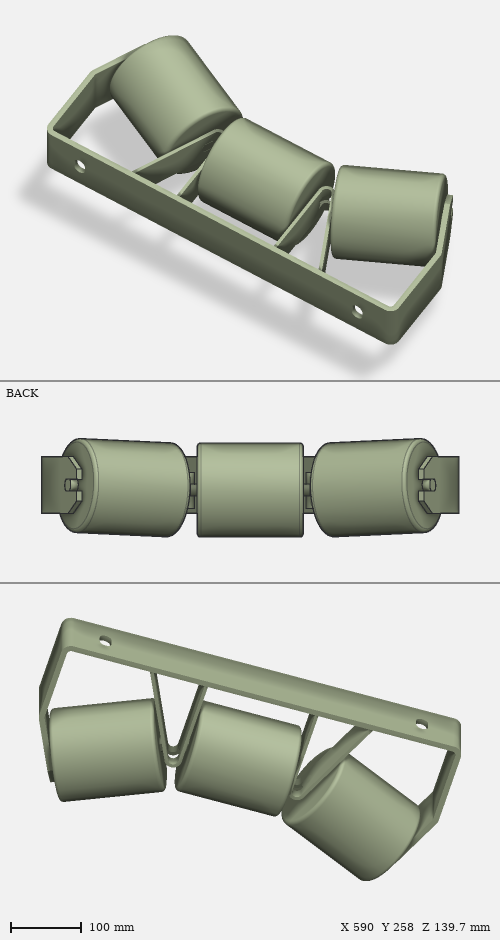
import cadquery as cq
import math

FRAME_LENGTH = 590.0
HALF_LENGTH = FRAME_LENGTH / 2
FRAME_HEIGHT = 80.0
FRAME_THICKNESS = 8.0
FRAME_BEND_RADIUS = 14.0
SIDE_DEPTH = 124.5
WING_LENGTH = 118.0
LEAN = 25.0
WING_CHAMFER_LENGTH = 29.0
WING_CHAMFER_HEIGHT = 17.5

MOUNT_SLOT_WIDTH = 17.5
MOUNT_SLOT_HEIGHT = 27.0
MOUNT_SLOT_OFFSET = 233.5

ROLLER_DIAMETER = 133.5
ROLLER_LENGTH = 150.0
ROLLER_EDGE_RADIUS = 5.5
SHAFT_DIAMETER = 20.0
SHAFT_ACROSS_FLATS = 16.5
ROLLER_GAP = 4.0
WING_AXIS_SETBACK = 30.0
CENTRE_AXIS_Y = 125.0
AXIS_DROP = 7.0

BRACKET_THICKNESS = 5.0
BRACKET_BEND_RADIUS = 12.5
BRACKET_TOP_Y = 152.0
BRACKET_HEIGHT = 51.5
BRACKET_MID_Z = -7.5

lean = math.radians(LEAN)
bracket_face_x = -(ROLLER_LENGTH / 2 + ROLLER_GAP)
bracket_bend_x = bracket_face_x - BRACKET_BEND_RADIUS
bracket_bend_y = BRACKET_TOP_Y - BRACKET_BEND_RADIUS

wing_dir = cq.Vector(math.sin(lean), math.cos(lean), 0)
inward_dir = cq.Vector(math.cos(lean), -math.sin(lean), 0)
side_corner = cq.Vector(-HALF_LENGTH, SIDE_DEPTH, 0)
wing_tip = side_corner + wing_dir * WING_LENGTH

wing_axis_point = wing_tip - wing_dir * WING_AXIS_SETBACK
sloping_face_point = cq.Vector(bracket_bend_x, bracket_bend_y, 0) - inward_dir * BRACKET_BEND_RADIUS
bracket_distance = (sloping_face_point - wing_axis_point).dot(inward_dir)
bracket_axis_point = wing_axis_point + inward_dir * bracket_distance - cq.Vector(0, 0, AXIS_DROP)
side_axis_dir = (bracket_axis_point - wing_axis_point).normalized()
side_axis_length = (bracket_axis_point - wing_axis_point).Length

side_axis = cq.Plane(wing_axis_point, wing_dir, side_axis_dir)
centre_axis = cq.Plane((0, CENTRE_AXIS_Y, -AXIS_DROP), (0, 1, 0), (1, 0, 0))


def inset_path(points, distance):
    """Points of a path running parallel to an open path, on its left side, with mitred corners."""
    directions = [(end - start).normalized() for start, end in zip(points, points[1:])]
    befores = directions[:1] + directions
    afters = directions + directions[-1:]
    inset = []
    for point, before, after in zip(points, befores, afters):
        normal_sum = cq.Vector(-before.y - after.y, before.x + after.x, 0)
        inset.append(point + normal_sum * (distance / (1 + before.dot(after))))
    return inset


def bent_strip(outer_points, thickness, bend_radius, height, mid_z):
    """Upright folded strip, given the corners of its outer face; it lies to the left of that path."""
    inner_points = inset_path(outer_points, thickness)
    outline = [point.toTuple()[:2] for point in outer_points + inner_points[::-1]]
    strip = cq.Workplane().polyline(outline).close().extrude(height / 2, both=True)
    for points, radius in ((outer_points, bend_radius), (inner_points, bend_radius - thickness)):
        for corner in points[1:-1]:
            strip = strip.edges(cq.selectors.NearestToPointSelector(corner)).fillet(radius)
    return strip.translate((0, 0, mid_z))


def shaft(axis, start, end):
    """Round shaft with two flats, between two distances along its axis."""
    length = end - start
    round_bar = cq.Workplane(axis).workplane(offset=start).circle(SHAFT_DIAMETER / 2).extrude(length)
    flat_bar = (
        cq.Workplane(axis)
        .workplane(offset=start)
        .rect(SHAFT_DIAMETER, SHAFT_ACROSS_FLATS)
        .extrude(length)
    )
    return round_bar.intersect(flat_bar)


def shaft_slot(axis, start, end):
    """Cutter for a slot that holds the shaft and is open towards local +X."""
    reach = 2 * WING_AXIS_SETBACK
    opening = (
        cq.Workplane(axis)
        .workplane(offset=start)
        .center(reach / 2, 0)
        .rect(reach, SHAFT_ACROSS_FLATS)
        .extrude(end - start)
    )
    return shaft(axis, start, end).union(opening)


def make_roller(axis, barrel_start, shaft_start, shaft_end):
    """Barrel with rounded ends on its shaft, placed by distances along the axis."""
    barrel = (
        cq.Workplane(axis)
        .workplane(offset=barrel_start)
        .circle(ROLLER_DIAMETER / 2)
        .extrude(ROLLER_LENGTH)
        .edges("%CIRCLE")
        .fillet(ROLLER_EDGE_RADIUS)
    )
    return barrel.union(shaft(axis, shaft_start, shaft_end))


def mirrored(body):
    """Copy of a left-side shape on the right side."""
    return body.mirror("YZ")


def wing_cutter():
    """Tip chamfers and shaft slot of the left wing."""
    half_height = FRAME_HEIGHT / 2
    tip_plane = cq.Plane(wing_tip, wing_dir, inward_dir)
    cutter = shaft_slot(side_axis, -FRAME_THICKNESS, 2 * FRAME_THICKNESS)
    for side in (1, -1):
        corner = [
            (-WING_CHAMFER_LENGTH, side * half_height),
            (0, side * half_height),
            (0, side * (half_height - WING_CHAMFER_HEIGHT)),
        ]
        cutter = cutter.union(cq.Workplane(tip_plane).polyline(corner).close().extrude(FRAME_THICKNESS))
    return cutter


def make_frame():
    """Channel of folded strip with mounting slots and two slotted wings."""
    left_half = [wing_tip, side_corner, cq.Vector(-HALF_LENGTH, 0, 0)]
    right_half = [cq.Vector(-point.x, point.y, 0) for point in left_half[::-1]]
    frame = bent_strip(left_half + right_half, FRAME_THICKNESS, FRAME_BEND_RADIUS, FRAME_HEIGHT, 0)
    mount_slots = (
        cq.Workplane("XZ")
        .pushPoints([(-MOUNT_SLOT_OFFSET, 0), (MOUNT_SLOT_OFFSET, 0)])
        .slot2D(MOUNT_SLOT_HEIGHT, MOUNT_SLOT_WIDTH, 90)
        .extrude(-FRAME_THICKNESS)
    )
    return frame.cut(mount_slots).cut(wing_cutter()).cut(mirrored(wing_cutter()))


def make_bracket():
    """Left bracket: an upright leg and a sloping leg, both ending on the inside of the front wall."""
    apex_y = bracket_bend_y + BRACKET_BEND_RADIUS / math.tan(lean / 2)
    apex = cq.Vector(bracket_face_x, apex_y, 0)
    upright_foot = cq.Vector(bracket_face_x, 0, 0)
    sloping_foot = apex - wing_dir * (apex_y / math.cos(lean) + BRACKET_THICKNESS)
    bracket = bent_strip(
        [upright_foot, apex, sloping_foot],
        BRACKET_THICKNESS,
        BRACKET_BEND_RADIUS,
        BRACKET_HEIGHT,
        BRACKET_MID_Z,
    )
    wall_space = cq.Workplane().box(FRAME_LENGTH, 2 * FRAME_THICKNESS, FRAME_HEIGHT)
    upright_slot = shaft_slot(centre_axis, bracket_bend_x, bracket_face_x)
    sloping_slot = shaft_slot(
        side_axis, side_axis_length - BRACKET_THICKNESS, side_axis_length + BRACKET_BEND_RADIUS
    )
    return bracket.cut(wall_space).cut(upright_slot).cut(sloping_slot)


frame = make_frame()
left_bracket = make_bracket()
brackets = [left_bracket, mirrored(left_bracket)]

centre_shaft_end = BRACKET_THICKNESS - bracket_face_x
centre_roller = make_roller(centre_axis, -ROLLER_LENGTH / 2, -centre_shaft_end, centre_shaft_end)
left_roller = make_roller(
    side_axis,
    side_axis_length - ROLLER_GAP - ROLLER_LENGTH,
    0,
    side_axis_length + BRACKET_THICKNESS,
)
rollers = [left_roller, centre_roller, mirrored(left_roller)]

result = cq.Compound.makeCompound([body.val() for body in [frame, *brackets, *rollers]])